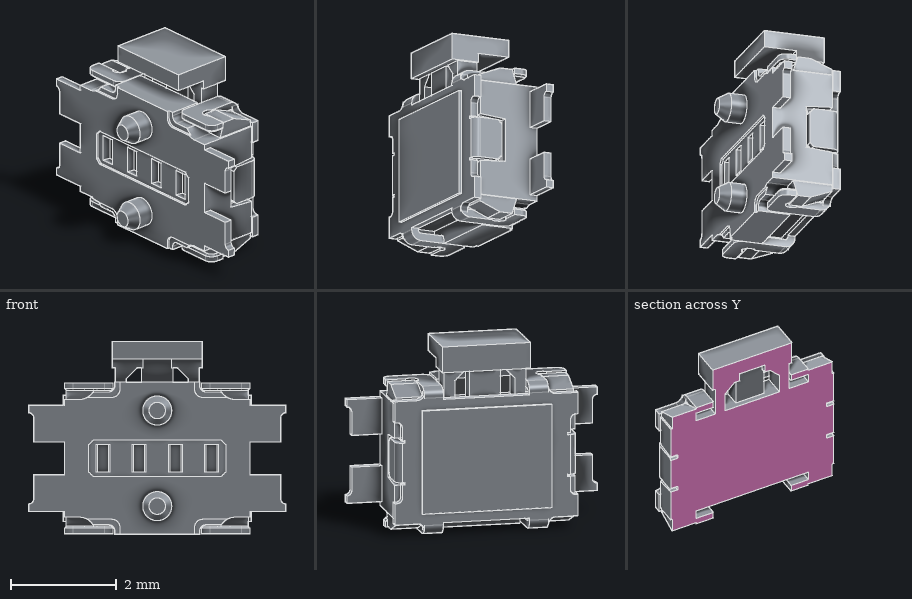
import cadquery as cq
import math


SHEET = 0.145

BODY_HALF_WIDTH = 1.75
BODY_HALF_HEIGHT = 1.11
BODY_BACK = 1.2
TONGUE_HALF_HEIGHT = 1.435
TONGUE_HALF_WIDTH = 0.805
TONGUE_BACK = 0.68
TONGUE_CORNER_RADIUS = 0.115
SHOULDER_HEIGHT = 1.25
SHOULDER_HALF_WIDTH = 1.212
SHOULDER_FOOT_HALF_WIDTH = 1.455
SHOULDER_FLANK_SAG = 0.035
LIP_DEPTH = 0.045
LIP_HALF_WIDTH = 0.705
LIP_HEIGHT = 1.15
LIP_CORNER_RADIUS = 0.155

RAMP_OUTER = 1.72
RAMP_INNER = 1.205
RAMP_PEAK = 1.4
RAMP_BACK_HEIGHT = 1.23
RAMP_PEAK_FRONT = 0.515
RAMP_PEAK_BACK = 0.77
RAMP_FOOT_FRONT = 0.42

TAB_THICKNESS = 0.15
TAB_HALF_SPAN = 2.425
TAB_LOW = 0.305
TAB_HIGH = 1.005
TAB_NOSE_HEIGHT = 0.145
TAB_STEP = 0.09

PIN_DIAMETER = 0.55
PIN_TIP_DIAMETER = 0.31
PIN_OFFSET = 0.9
PIN_STRAIGHT = 0.305
PIN_LENGTH = 0.505

RECESS_WIDTH = 2.585
RECESS_HEIGHT = 0.69
RECESS_CHAMFER = 0.085
RECESS_DEPTH = 0.045
SLOT_COUNT = 4
SLOT_PITCH = 0.685
SLOT_WIDTH = 0.26
SLOT_FLOOR_WIDTH = 0.205
SLOT_HEIGHT = 0.515
SLOT_DEPTH = 0.145

COVER_BACK = BODY_BACK + SHEET
WING_HALF_WIDTH = 1.775
WING_HEIGHT = 1.195
WING_BOTTOM = 0.78
WAIST_DEPTH = SHEET
WAIST_RADIUS = 0.1
PAD_WIDTH = 2.505
PAD_HEIGHT = 2.0
PAD_THICKNESS = 0.055
HOOK_TOP = 1.425
HOOK_INNER = 0.835
HOOK_NECK = 1.205
HOOK_FRONT = 0.165
HOOK_FRONT_BEVEL = 0.04
HOOK_ROOT_RADIUS = 0.14
HOOK_ARM_BACK = 0.475
HOOK_CORNER_RADIUS = 0.16
HOOK_RELIEF_RADIUS = 0.13
HOOK_RELIEF_X = -1.27
HOOK_RELIEF_Y = 0.565
BEND_RADIUS = 0.195

FLAP_HALF_HEIGHT = 0.385
FLAP_FRONT = 0.745
FLAP_CHAMFER = 0.075
FLAP_BEND_RADIUS = 0.14
FLAP_RELIEF_TOP = 0.425
FLAP_RELIEF_HALF_WIDTH = 1.575
WINDOW_HALF_HEIGHT = 0.41
WINDOW_FLARE = 0.045
WINDOW_FRONT = 0.675
SLIT_FRONT = 0.71

BUTTON_HALF_WIDTH = 0.855
BUTTON_TOP = 2.205
BUTTON_HEAD_BOTTOM = 1.875
BUTTON_BLOCK_BOTTOM = 1.705
BUTTON_FRONT = 0.145
BLOCK_FRONT = 0.785
BLOCK_GAP_HALF_WIDTH = 0.265
STEM_HALF_WIDTH = 0.3
STEM_SETBACK = 0.095
LEG_OUTER = 0.795
LEG_INNER = 0.58
LEG_GUSSET = 0.205


def box(x0, x1, y0, y1, z0, z1):
    """Box between two opposite corners."""
    return cq.Workplane("XY").box(x1 - x0, y1 - y0, z1 - z0, centered=False).translate((x0, y0, z0))


def front_sketch(y):
    """Workplane with local axes X and Z at a given Y."""
    return cq.Workplane(cq.Plane(origin=(0, y, 0), xDir=(1, 0, 0), normal=(0, -1, 0)))


def extrude_back(outline, depth):
    """Extrude an XZ outline toward +Y."""
    return outline.extrude(-depth)


def side_profile(points, x0, x1):
    """Prism of a YZ outline between two X positions."""
    return cq.Workplane("YZ", origin=(x0, 0, 0)).polyline(points).close().extrude(x1 - x0)


def with_mirror(shape, plane):
    return shape.union(shape.mirror(plane))


def at_four_corners(shape):
    return with_mirror(with_mirror(shape, "YZ"), "XY")


def rise_to_tongue_top(outline, half_width, shoulder_height, radius):
    """Continue an outline along the left shoulder, round the inside corner and up the tongue side."""
    arc_shift = radius * (1 - math.sqrt(0.5))
    return (
        outline.lineTo(-half_width - radius, shoulder_height)
        .threePointArc(
            (-half_width - arc_shift, shoulder_height + arc_shift), (-half_width, shoulder_height + radius)
        )
        .lineTo(-half_width, TONGUE_HALF_HEIGHT)
    )


def tongue_half():
    """Left half of the upper tongue; its front layer is cut back to the lip outline."""
    rise = SHOULDER_HEIGHT - BODY_HALF_HEIGHT
    run = SHOULDER_FOOT_HALF_WIDTH - SHOULDER_HALF_WIDTH
    chord = math.hypot(run, rise)
    flank_middle = (
        -SHOULDER_FOOT_HALF_WIDTH + run / 2 + SHOULDER_FLANK_SAG * rise / chord,
        BODY_HALF_HEIGHT + rise / 2 - SHOULDER_FLANK_SAG * run / chord,
    )
    outline = (
        front_sketch(0)
        .moveTo(0, 0)
        .lineTo(-SHOULDER_FOOT_HALF_WIDTH, 0)
        .lineTo(-SHOULDER_FOOT_HALF_WIDTH, BODY_HALF_HEIGHT)
        .threePointArc(flank_middle, (-SHOULDER_HALF_WIDTH, SHOULDER_HEIGHT))
    )
    outline = rise_to_tongue_top(outline, TONGUE_HALF_WIDTH, SHOULDER_HEIGHT, TONGUE_CORNER_RADIUS)
    outline = outline.lineTo(0, TONGUE_HALF_HEIGHT).close()
    tongue = extrude_back(outline, TONGUE_BACK)
    step = front_sketch(0).moveTo(-SHOULDER_FOOT_HALF_WIDTH, LIP_HEIGHT)
    step = rise_to_tongue_top(step, LIP_HALF_WIDTH, LIP_HEIGHT, LIP_CORNER_RADIUS)
    step = step.lineTo(-SHOULDER_FOOT_HALF_WIDTH, TONGUE_HALF_HEIGHT).close()
    return tongue.cut(extrude_back(step, LIP_DEPTH))


def snap_ramp():
    """Ramp on the upper left of the body that snaps into the notch of a cover hook."""
    return side_profile(
        [
            (RAMP_FOOT_FRONT, BODY_HALF_HEIGHT),
            (RAMP_PEAK_FRONT, RAMP_PEAK),
            (RAMP_PEAK_BACK, RAMP_PEAK),
            (BODY_BACK, RAMP_BACK_HEIGHT),
            (BODY_BACK, BODY_HALF_HEIGHT),
        ],
        -RAMP_OUTER,
        -RAMP_INNER,
    )


def moulded_body():
    body = box(-BODY_HALF_WIDTH, BODY_HALF_WIDTH, 0, BODY_BACK, -BODY_HALF_HEIGHT, BODY_HALF_HEIGHT)
    return body.union(at_four_corners(tongue_half())).union(at_four_corners(snap_ramp()))


def solder_tab():
    """Upper left tab: its end steps in below the nose through a quarter circle."""
    shank_end = -TAB_HALF_SPAN + TAB_STEP
    nose_bottom = TAB_HIGH - TAB_NOSE_HEIGHT
    arc_shift = TAB_STEP * math.sqrt(0.5)
    outline = (
        front_sketch(0)
        .moveTo(-BODY_HALF_WIDTH, TAB_HIGH)
        .lineTo(-TAB_HALF_SPAN, TAB_HIGH)
        .lineTo(-TAB_HALF_SPAN, nose_bottom)
        .threePointArc(
            (-TAB_HALF_SPAN + arc_shift, nose_bottom - TAB_STEP + arc_shift),
            (shank_end, nose_bottom - TAB_STEP),
        )
        .lineTo(shank_end, TAB_LOW)
        .lineTo(-BODY_HALF_WIDTH, TAB_LOW)
        .close()
    )
    return extrude_back(outline, TAB_THICKNESS)


def locating_pin():
    """Upper pin with a conical tip, revolved about its own axis along Y."""
    radius = PIN_DIAMETER / 2
    return (
        cq.Workplane("XY")
        .polyline(
            [
                (0, 0),
                (radius, 0),
                (radius, -PIN_STRAIGHT),
                (PIN_TIP_DIAMETER / 2, -PIN_LENGTH),
                (0, -PIN_LENGTH),
            ]
        )
        .close()
        .revolve(360, (0, 0), (0, 1))
        .translate((0, 0, PIN_OFFSET))
    )


def contact_recess():
    """Chamfered recess with a row of slots whose side walls taper toward their floors."""
    recess = extrude_back(front_sketch(0).rect(RECESS_WIDTH, RECESS_HEIGHT), RECESS_DEPTH)
    recess = recess.edges("|Y").chamfer(RECESS_CHAMFER)
    floor_depth = RECESS_DEPTH + SLOT_DEPTH
    for index in range(SLOT_COUNT):
        center = (index - (SLOT_COUNT - 1) / 2) * SLOT_PITCH
        slot = (
            cq.Workplane("XY", origin=(center, 0, 0))
            .polyline(
                [
                    (-SLOT_WIDTH / 2, 0),
                    (-SLOT_WIDTH / 2, RECESS_DEPTH),
                    (-SLOT_FLOOR_WIDTH / 2, floor_depth),
                    (SLOT_FLOOR_WIDTH / 2, floor_depth),
                    (SLOT_WIDTH / 2, RECESS_DEPTH),
                    (SLOT_WIDTH / 2, 0),
                ]
            )
            .close()
            .extrude(SLOT_HEIGHT / 2, both=True)
        )
        recess = recess.union(slot)
    return recess


def cover_plate():
    """Back sheet with a narrow waist between the upper and lower wings, and a raised pad."""
    plate = box(-WING_HALF_WIDTH, WING_HALF_WIDTH, BODY_BACK, COVER_BACK, -WING_HEIGHT, WING_HEIGHT)
    waist = box(
        -WING_HALF_WIDTH, -WING_HALF_WIDTH + WAIST_DEPTH, BODY_BACK, COVER_BACK, -WING_BOTTOM, WING_BOTTOM
    )
    waist = waist.edges("|Y and >X").fillet(WAIST_RADIUS)
    pad = extrude_back(front_sketch(COVER_BACK).rect(PAD_WIDTH, PAD_HEIGHT), PAD_THICKNESS)
    relief = box(
        -WING_HALF_WIDTH, -FLAP_RELIEF_HALF_WIDTH, BODY_BACK, COVER_BACK, FLAP_HALF_HEIGHT, FLAP_RELIEF_TOP
    )
    return plate.cut(with_mirror(waist, "YZ")).cut(at_four_corners(relief)).union(pad)


def cover_hook():
    """Upper left hook: a neck bent forward from the plate and an arm reaching outward."""
    hook_bottom = HOOK_TOP - SHEET
    neck_front = HOOK_FRONT + HOOK_CORNER_RADIUS
    neck = box(-HOOK_NECK, -HOOK_INNER, neck_front, COVER_BACK, WING_BOTTOM, HOOK_TOP)
    neck = neck.edges("|X and >Y and >Z").fillet(BEND_RADIUS)
    under_neck = box(-HOOK_NECK, -HOOK_INNER, neck_front, BODY_BACK, WING_BOTTOM, hook_bottom)
    neck = neck.cut(under_neck.edges("|X and >Y and >Z").fillet(BEND_RADIUS - SHEET))
    arm = box(-BODY_HALF_WIDTH, -HOOK_INNER, HOOK_FRONT, HOOK_ARM_BACK, hook_bottom, HOOK_TOP)
    arm = arm.edges("|Z and <Y").fillet(HOOK_CORNER_RADIUS)
    arm = arm.faces("<Z").edges("<Y or %CIRCLE").chamfer(HOOK_FRONT_BEVEL)
    relief = (
        cq.Workplane("XY", origin=(HOOK_RELIEF_X, HOOK_RELIEF_Y, hook_bottom))
        .circle(HOOK_RELIEF_RADIUS)
        .extrude(SHEET)
    )
    root_left = -HOOK_NECK - HOOK_ROOT_RADIUS
    root_shift = HOOK_ROOT_RADIUS * math.sqrt(0.5)
    root = (
        front_sketch(BODY_BACK)
        .moveTo(root_left, WING_HEIGHT)
        .threePointArc(
            (root_left + root_shift, WING_HEIGHT + HOOK_ROOT_RADIUS - root_shift),
            (-HOOK_NECK, WING_HEIGHT + HOOK_ROOT_RADIUS),
        )
        .lineTo(-HOOK_NECK, WING_HEIGHT)
        .close()
    )
    root = extrude_back(root, SHEET)
    return neck.union(arm).union(root).cut(relief)


def side_flap():
    """Left flap, bent forward from the plate into the window of the body."""
    flap = box(
        -BODY_HALF_WIDTH, -BODY_HALF_WIDTH + SHEET, FLAP_FRONT, COVER_BACK,
        -FLAP_HALF_HEIGHT, FLAP_HALF_HEIGHT,
    )
    flap = flap.edges("|X and <Y").chamfer(FLAP_CHAMFER)
    return flap.edges("|Z and >Y and <X").fillet(FLAP_BEND_RADIUS)


def side_window():
    """Flared pocket in the left side of the body around the flap."""
    flared = WINDOW_HALF_HEIGHT + WINDOW_FLARE
    return side_profile(
        [
            (WINDOW_FRONT, -WINDOW_HALF_HEIGHT),
            (WINDOW_FRONT, WINDOW_HALF_HEIGHT),
            (BODY_BACK, flared),
            (BODY_BACK, -flared),
        ],
        -BODY_HALF_WIDTH,
        -BODY_HALF_WIDTH + SHEET,
    )


def push_button():
    head = box(
        -BUTTON_HALF_WIDTH, BUTTON_HALF_WIDTH, BUTTON_FRONT, COVER_BACK, BUTTON_HEAD_BOTTOM, BUTTON_TOP
    )
    block = box(
        -BUTTON_HALF_WIDTH, BUTTON_HALF_WIDTH, BLOCK_FRONT, COVER_BACK,
        BUTTON_BLOCK_BOTTOM, BUTTON_HEAD_BOTTOM,
    )
    stem_front = BLOCK_FRONT + STEM_SETBACK
    gap = box(
        -BLOCK_GAP_HALF_WIDTH, BLOCK_GAP_HALF_WIDTH, BLOCK_FRONT, stem_front,
        BUTTON_BLOCK_BOTTOM, BUTTON_HEAD_BOTTOM,
    )
    stem = box(
        -STEM_HALF_WIDTH, STEM_HALF_WIDTH, stem_front, BODY_BACK, BODY_HALF_HEIGHT, BUTTON_BLOCK_BOTTOM
    )
    leg_outline = (
        front_sketch(BLOCK_FRONT)
        .moveTo(-LEG_OUTER, BODY_HALF_HEIGHT)
        .lineTo(-LEG_OUTER, BUTTON_BLOCK_BOTTOM)
        .lineTo(-LEG_INNER + LEG_GUSSET, BUTTON_BLOCK_BOTTOM)
        .lineTo(-LEG_INNER, BUTTON_BLOCK_BOTTOM - LEG_GUSSET)
        .lineTo(-LEG_INNER, BODY_HALF_HEIGHT)
        .close()
    )
    leg = extrude_back(leg_outline, BODY_BACK - BLOCK_FRONT)
    return head.union(block.cut(gap)).union(stem).union(with_mirror(leg, "YZ"))


flap_slit = box(
    -BODY_HALF_WIDTH, BODY_HALF_WIDTH, SLIT_FRONT, FLAP_FRONT, -FLAP_HALF_HEIGHT, FLAP_HALF_HEIGHT
)

result = (
    moulded_body()
    .cut(contact_recess())
    .cut(with_mirror(side_window(), "YZ"))
    .cut(flap_slit)
    .union(at_four_corners(solder_tab()))
    .union(with_mirror(locating_pin(), "XY"))
    .union(cover_plate())
    .union(at_four_corners(cover_hook()))
    .union(with_mirror(side_flap(), "YZ"))
    .union(push_button())
)